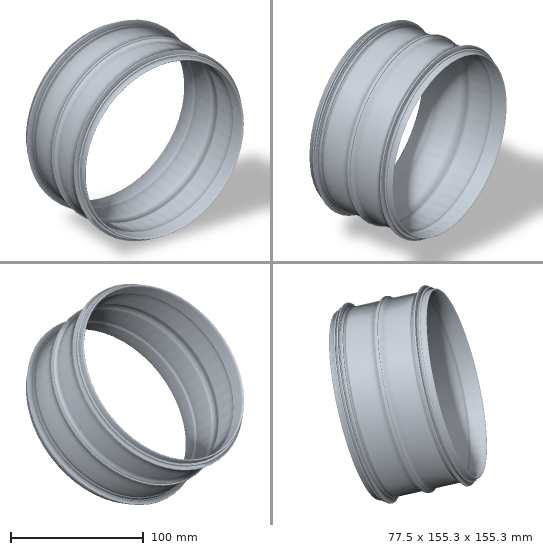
import cadquery as cq


length = 77.5
half_length = length / 2
outer_radius = 147.2 / 2
inner_radius = 146.1 / 2

seat_outer_radius = 145.4 / 2
seat_inner_radius = 144.1 / 2
lip_length = 1.4
lip_end_outer_radius = 73.1
lip_end_inner_radius = 72.8
lip_middle = 0.5
lip_outer_middle_drop = 0.2
lip_inner_middle_rise = 0.3
seat_start = 2.0
seat_end = 12.6
ramp_end = 14.5
ramp_middle = 13.2
ramp_middle_drop = 0.3

bead_radius = 76.1
bead_half_width = 0.8
shoulder_radius = 75.2
shoulder_half_width = 1.7
flare_half_width = 3.3
flare_rise = 0.6
flare_foot = 5.3
flare_middle = 4.3
flare_middle_rise = 0.2
hollow_radius = 74.5

seal_end = 11.0
short_fin_radius = 151.3 / 2
short_fin_start = 5.0
short_fin_end = 5.5
barb_start = 4.3
barb_radius = 75.0
barb_foot_radius = 74.4
tall_fin_radius = 155.3 / 2
tall_fin_start = 7.8
tall_fin_end = 8.5
heel_end = 8.9
heel_radius = 74.9


def revolve_about_x(profile):
    return profile.close().revolve(360, (0, 0, 0), (1, 0, 0))


def make_half_sheet():
    """Sheet from the tube's middle (X = 0) to its -X end."""

    def from_end(distance):
        return distance - half_length

    profile = (
        cq.Workplane("XY")
        .moveTo(0, bead_radius)
        .lineTo(-bead_half_width, bead_radius)
        .lineTo(-bead_half_width, shoulder_radius)
        .lineTo(-shoulder_half_width, shoulder_radius)
        .lineTo(-flare_half_width, outer_radius + flare_rise)
        .threePointArc((-flare_middle, outer_radius + flare_middle_rise), (-flare_foot, outer_radius))
        .lineTo(from_end(ramp_end), outer_radius)
        .threePointArc(
            (from_end(ramp_middle), outer_radius - ramp_middle_drop),
            (from_end(seat_end), seat_outer_radius),
        )
        .lineTo(from_end(seat_start), seat_outer_radius)
        .lineTo(from_end(seat_start), outer_radius)
        .lineTo(from_end(lip_length), outer_radius)
        .threePointArc(
            (from_end(lip_middle), outer_radius - lip_outer_middle_drop),
            (from_end(0), lip_end_outer_radius),
        )
        .lineTo(from_end(0), lip_end_inner_radius)
        .threePointArc(
            (from_end(lip_middle), seat_inner_radius + lip_inner_middle_rise),
            (from_end(lip_length), seat_inner_radius),
        )
        .lineTo(from_end(seat_end), seat_inner_radius)
        .lineTo(from_end(ramp_end), inner_radius)
        .lineTo(-flare_foot, inner_radius)
        .threePointArc(
            (-flare_middle, inner_radius + flare_middle_rise),
            (-flare_half_width, inner_radius + flare_rise),
        )
        .lineTo(-bead_half_width, hollow_radius)
        .lineTo(0, hollow_radius)
    )
    return revolve_about_x(profile)


def make_seal():
    """Seal band with a short barbed fin and a tall fin, at the -X end."""
    end = -half_length
    profile = (
        cq.Workplane("XY")
        .moveTo(end + seat_start, seat_outer_radius)
        .lineTo(end + seat_start, outer_radius)
        .lineTo(end + short_fin_start, outer_radius)
        .lineTo(end + short_fin_start, barb_foot_radius)
        .threePointArc((end + barb_start, barb_radius), (end + short_fin_start, short_fin_radius))
        .lineTo(end + short_fin_end, short_fin_radius)
        .lineTo(end + short_fin_end, outer_radius)
        .lineTo(end + tall_fin_start, outer_radius)
        .lineTo(end + tall_fin_start, tall_fin_radius)
        .lineTo(end + tall_fin_end, tall_fin_radius)
        .lineTo(end + tall_fin_end, heel_radius)
        .lineTo(end + heel_end, heel_radius)
        .lineTo(end + heel_end, outer_radius)
        .lineTo(end + seal_end, outer_radius)
        .lineTo(end + seal_end, seat_outer_radius)
    )
    return revolve_about_x(profile)


half = make_half_sheet().union(make_seal())
result = half.union(half.mirror("YZ"))